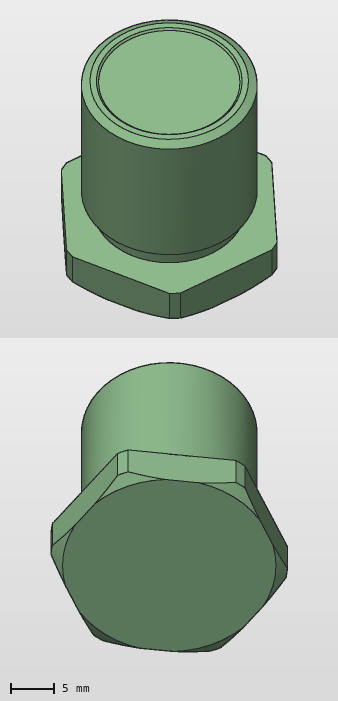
import cadquery as cq
import math

across_flats = 24.0
corner_diameter = 27.0
head_height = 5.0
seat_radius = 12.15
chamfer_slope = math.tan(math.radians(30))

neck_radius = 8.75
neck_length = 2.0
body_radius = 10.02
total_height = 26.0
lower_chamfer_height = (body_radius - neck_radius) * chamfer_slope
upper_chamfer_width = 1.0
upper_chamfer_height = upper_chamfer_width * chamfer_slope

recess_rim_radius = 8.3
recess_floor_radius = 8.05
recess_depth = 0.22


def make_head():
    """Hexagon with rounded corners and a conical chamfer underneath."""
    circumscribed_diameter = across_flats / math.cos(math.radians(30))
    hexagon = cq.Workplane("XY").polygon(6, circumscribed_diameter).extrude(head_height)
    corner_radius = corner_diameter / 2
    chamfer_height = (corner_radius - seat_radius) * chamfer_slope
    envelope_profile = [
        (0, 0),
        (seat_radius, 0),
        (corner_radius, chamfer_height),
        (corner_radius, head_height),
        (0, head_height),
    ]
    envelope = cq.Workplane("XZ").polyline(envelope_profile).close().revolve(360, (0, 0), (0, 1))
    return hexagon.intersect(envelope)


def make_shank():
    """Neck, chamfered body and end recess as one turned profile."""
    body_bottom = head_height + neck_length
    profile = [
        (0, head_height),
        (neck_radius, head_height),
        (neck_radius, body_bottom),
        (body_radius, body_bottom + lower_chamfer_height),
        (body_radius, total_height - upper_chamfer_height),
        (body_radius - upper_chamfer_width, total_height),
        (recess_rim_radius, total_height),
        (recess_floor_radius, total_height - recess_depth),
        (0, total_height - recess_depth),
    ]
    return cq.Workplane("XZ").polyline(profile).close().revolve(360, (0, 0), (0, 1))


result = make_head().union(make_shank())